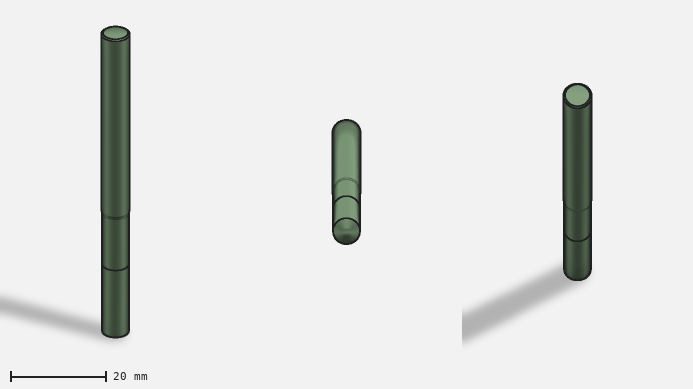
import cadquery as cq

total_length = 74.0
bottom_z = -total_length / 2
top_z = total_length / 2

shank_radius = 3.0
top_chamfer_width = 0.4
top_chamfer_height = 0.3
shoulder_height = 0.7
shoulder_top_z = -6.4
neck_bottom_z = -19.5

cutter_radius = 2.85
tip_height = 1.0


def revolve_profile(points):
    """Revolve a closed (radius, z) outline about the Z axis."""
    return cq.Workplane("XZ").polyline(points).close().revolve(360, (0, 0), (0, 1))


def make_shank():
    """Chamfered shank that tapers at its shoulder to the neck."""
    return revolve_profile([
        (0, neck_bottom_z),
        (cutter_radius, neck_bottom_z),
        (cutter_radius, shoulder_top_z - shoulder_height),
        (shank_radius, shoulder_top_z),
        (shank_radius, top_z - top_chamfer_height),
        (shank_radius - top_chamfer_width, top_z),
        (0, top_z),
    ])


def make_cutting_end():
    """Cylinder with a conical point, butted against the neck."""
    return revolve_profile([
        (0, bottom_z),
        (cutter_radius, bottom_z + tip_height),
        (cutter_radius, neck_bottom_z),
        (0, neck_bottom_z),
    ])


shank = make_shank()
cutting_end = make_cutting_end()

result = cq.Compound.makeCompound([shank.val(), cutting_end.val()])